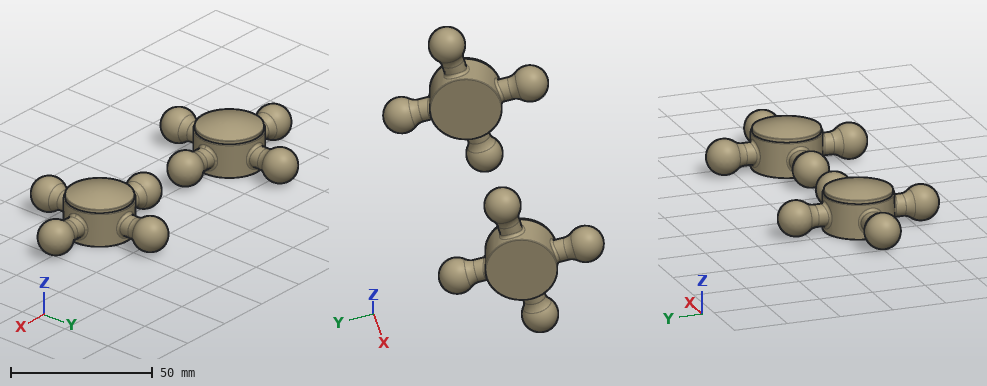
import cadquery as cq
import math

total_length = 130.3
handle_span = 60.3
total_height = 17.3
handle_pitch = total_length - handle_span
arm_count = 4

hub_radius = 12.8
hub_height = 13.3
hub_edge_round = 0.3
arm_axis_z = hub_height / 2

ball_radius = 6.5
neck_radius = 4.0
flare_radius = 5.0
root_fillet = 1.0
ball_center = handle_span / 2 - ball_radius

cap_radius = 12.2
cap_wall_top = 14.7
cap_edge_round = 0.3


def arm_profile_points():
    """Tangent points of the flare arc, its middle point and the ball crown, as (along arm, radius)."""
    flare_center_radius = neck_radius + flare_radius
    flare_offset = math.sqrt((ball_radius + flare_radius) ** 2 - flare_center_radius ** 2)
    flare_center = ball_center - flare_offset
    join_angle = math.atan2(-flare_center_radius, flare_offset)
    middle_angle = (join_angle - math.pi / 2) / 2

    def on_flare(angle):
        return (
            flare_center + flare_radius * math.cos(angle),
            flare_center_radius + flare_radius * math.sin(angle),
        )

    neck_end = (flare_center, neck_radius)
    ball_crown = (ball_center, ball_radius)
    return neck_end, on_flare(middle_angle), on_flare(join_angle), ball_crown


def make_arm():
    """One arm along +X, revolved about its own axis from the hub center to the ball tip."""
    neck_end, flare_middle, flare_end, ball_crown = arm_profile_points()
    return (
        cq.Workplane("XY")
        .moveTo(0, 0)
        .lineTo(0, neck_radius)
        .lineTo(*neck_end)
        .threePointArc(flare_middle, flare_end)
        .threePointArc(ball_crown, (ball_center + ball_radius, 0))
        .close()
        .revolve(360, (0, 0, 0), (1, 0, 0))
        .translate((0, 0, arm_axis_z))
    )


def make_cross():
    """Hub with four arms; the arm roots are filleted and the hub rims rounded."""
    cross = cq.Workplane("XY").circle(hub_radius).extrude(hub_height)
    arm = make_arm()
    for index in range(arm_count):
        cross = cross.union(arm.rotate((0, 0, 0), (0, 0, 1), index * 360 / arm_count))
    root_reach = hub_radius + root_fillet
    root_zone = cq.selectors.BoxSelector(
        (-root_reach, -root_reach, arm_axis_z - neck_radius - root_fillet),
        (root_reach, root_reach, arm_axis_z + neck_radius + root_fillet),
        boundingbox=True,
    )
    cross = cross.edges(root_zone).edges("not (%LINE or %CIRCLE)").fillet(root_fillet)
    return cross.faces("<Z or >Z").edges().fillet(hub_edge_round)


def make_cap():
    """Disc resting on the hub, with a spherical dome on top."""
    dome_rise = total_height - cap_wall_top
    dome_radius = (cap_radius ** 2 + dome_rise ** 2) / (2 * dome_rise)
    half_way = cap_radius / 2
    half_way_z = total_height - dome_radius + math.sqrt(dome_radius ** 2 - half_way ** 2)
    cap = (
        cq.Workplane("XZ")
        .moveTo(0, hub_height)
        .lineTo(cap_radius, hub_height)
        .lineTo(cap_radius, cap_wall_top)
        .threePointArc((half_way, half_way_z), (0, total_height))
        .close()
        .revolve(360, (0, 0, 0), (0, 1, 0))
    )
    return cap.faces("%CYLINDER").edges(">Z").fillet(cap_edge_round)


cross = make_cross()
cap = make_cap()

bodies = []
for side in (-1, 1):
    handle_place = (side * handle_pitch / 2, 0, 0)
    bodies.extend(cross.translate(handle_place).solids().vals())
    bodies.extend(cap.translate(handle_place).solids().vals())

result = cq.Compound.makeCompound(bodies)